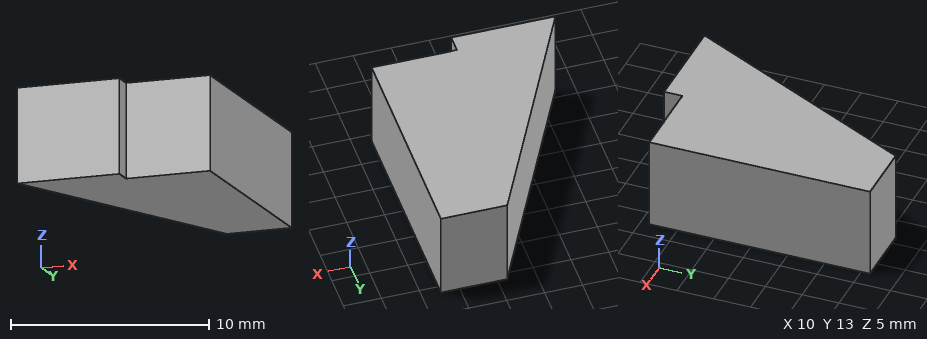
import cadquery as cq

width = 10.0
length = 13.0
height = 5.0

back_width = 3.5
foot_width = 5.5
foot_depth = 1.0


def wedge_outline():
    """Points of the tapered plan outline, starting at the sharp front corner."""
    return [
        (0, 0),
        (foot_width, 0),
        (foot_width, foot_depth),
        (width, foot_depth),
        (width, length),
        (width - back_width, length),
    ]


result = cq.Workplane("XY").polyline(wedge_outline()).close().extrude(height)